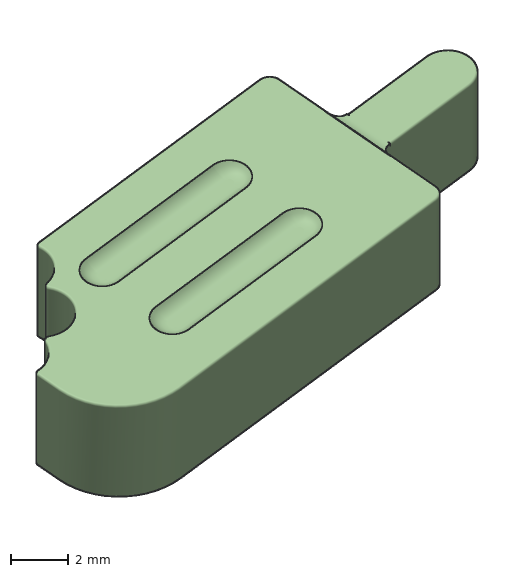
import cadquery as cq
import math


TILT_DEG = 18.0

BODY_WIDTH = 8.57
BODY_LENGTH = 16.36
BODY_HEIGHT = 4.5
TOP_CORNER_RADIUS = 0.5
TIP_CORNER_RADIUS = 3.0
RIM_RADIUS = 0.1

BITE_RADIUS = 1.2
BITE_CENTRES = [(-3.89, -12.98), (-1.83, -14.05), (-1.14, -16.11)]
BITE_CUSP_RADIUS = 0.18

STICK_WIDTH = 2.1
STICK_LENGTH = 5.59
STICK_HEIGHT = 4.25
STICK_EMBED = 1.0
ROOT_RADIUS = 0.55

GROOVE_WIDTH = 1.6
GROOVE_FLOOR_WIDTH = 0.34
GROOVE_DEPTH = 0.3
GROOVE_UPPER_END = -4.7
GROOVE_LOWER_END = -11.1
GROOVE_OFFSET = 1.7

HALF_BODY = BODY_WIDTH / 2
HALF_STICK = STICK_WIDTH / 2


def bitten_away():
    """Everything outside the row of bites, at the lower left of the body."""
    first, middle, last = BITE_CENTRES
    outside_x = -BODY_WIDTH
    outside_y = -BODY_LENGTH - BITE_RADIUS
    corner = (
        cq.Workplane("XY")
        .polyline(
            [
                first,
                middle,
                last,
                (last[0], outside_y),
                (outside_x, outside_y),
                (outside_x, first[1]),
            ]
        )
        .close()
        .extrude(BODY_HEIGHT)
    )
    rounds = cq.Workplane("XY").pushPoints(BITE_CENTRES).circle(BITE_RADIUS).extrude(BODY_HEIGHT)
    return corner.union(rounds)


def make_body():
    """Bitten slab with rounded corners and a rounded top rim."""
    slab = (
        cq.Workplane("XY")
        .rect(BODY_WIDTH, BODY_LENGTH)
        .extrude(BODY_HEIGHT)
        .translate((0, -BODY_LENGTH / 2, 0))
    )
    slab = slab.edges("|Z and >Y").fillet(TOP_CORNER_RADIUS)
    slab = slab.edges("|Z and <Y and >X").fillet(TIP_CORNER_RADIUS)
    slab = slab.cut(bitten_away())

    first_centre = BITE_CENTRES[0]
    last_centre = BITE_CENTRES[-1]
    cusp_zone = cq.selectors.BoxSelector(
        (-BODY_WIDTH, -2 * BODY_LENGTH, 0),
        (last_centre[0] + BITE_RADIUS, first_centre[1] + BITE_RADIUS, BODY_HEIGHT),
    )
    slab = slab.edges("|Z").edges(cusp_zone).fillet(BITE_CUSP_RADIUS)
    return slab.faces(">Z").edges().fillet(RIM_RADIUS)


def stick_outline():
    """Round-ended stick that flares into the body with a concave root."""
    flare = ROOT_RADIUS * (1 - math.sqrt(0.5))
    flare_x = HALF_STICK + ROOT_RADIUS
    neck_y = STICK_LENGTH - HALF_STICK
    return (
        cq.Workplane("XY")
        .moveTo(-flare_x, -STICK_EMBED)
        .lineTo(-flare_x, 0)
        .threePointArc((-HALF_STICK - flare, flare), (-HALF_STICK, ROOT_RADIUS))
        .lineTo(-HALF_STICK, neck_y)
        .threePointArc((0, STICK_LENGTH), (HALF_STICK, neck_y))
        .lineTo(HALF_STICK, ROOT_RADIUS)
        .threePointArc((HALF_STICK + flare, flare), (flare_x, 0))
        .lineTo(flare_x, -STICK_EMBED)
        .close()
    )


def make_stick():
    """Stick with a rounded top rim and a hollow ramp up to the body's rim."""
    stick = stick_outline().extrude(STICK_HEIGHT)
    stick = stick.faces(">Z").edges("not <Y").fillet(RIM_RADIUS)

    rim_base = BODY_HEIGHT - RIM_RADIUS
    rise = rim_base - STICK_HEIGHT
    ramp_radius = (ROOT_RADIUS**2 + rise**2) / (2 * rise)
    ramp = (
        cq.Workplane("YZ")
        .moveTo(-RIM_RADIUS, STICK_HEIGHT - RIM_RADIUS)
        .lineTo(ROOT_RADIUS, STICK_HEIGHT - RIM_RADIUS)
        .lineTo(ROOT_RADIUS, STICK_HEIGHT)
        .radiusArc((0, rim_base), ramp_radius)
        .lineTo(-RIM_RADIUS, rim_base)
        .close()
        .extrude(HALF_BODY, both=True)
    )
    ramp = ramp.intersect(stick_outline().extrude(BODY_HEIGHT))
    return stick.union(ramp)


def make_groove(x):
    """Round-ended trough whose sides curve down to a narrow flat floor."""
    half_width = GROOVE_WIDTH / 2
    half_floor = GROOVE_FLOOR_WIDTH / 2
    side_run = half_width - half_floor
    side_radius = (side_run**2 + GROOVE_DEPTH**2) / (2 * GROOVE_DEPTH)
    floor_z = BODY_HEIGHT - GROOVE_DEPTH

    def half_profile(sketch):
        """Right half of the cross-section, from the middle line to the rim."""
        return (
            sketch.moveTo(0, floor_z)
            .lineTo(half_floor, floor_z)
            .radiusArc((half_width, BODY_HEIGHT), -side_radius)
            .lineTo(0, BODY_HEIGHT)
            .close()
        )

    straight = GROOVE_UPPER_END - GROOVE_LOWER_END
    half_trough = half_profile(cq.Workplane("XZ", origin=(0, GROOVE_UPPER_END, 0))).extrude(straight)
    trough = half_trough.union(half_trough.mirror("YZ"))
    for end_y in (GROOVE_UPPER_END, GROOVE_LOWER_END):
        end = half_profile(cq.Workplane("XZ", origin=(0, end_y, 0))).revolve(360, (0, 0), (0, 1))
        trough = trough.union(end)
    return trough.translate((x, 0, 0))


lolly = make_body().union(make_stick())
for side in (-1, 1):
    lolly = lolly.cut(make_groove(side * GROOVE_OFFSET))

result = lolly.rotate((0, 0, 0), (0, 0, 1), -TILT_DEG)